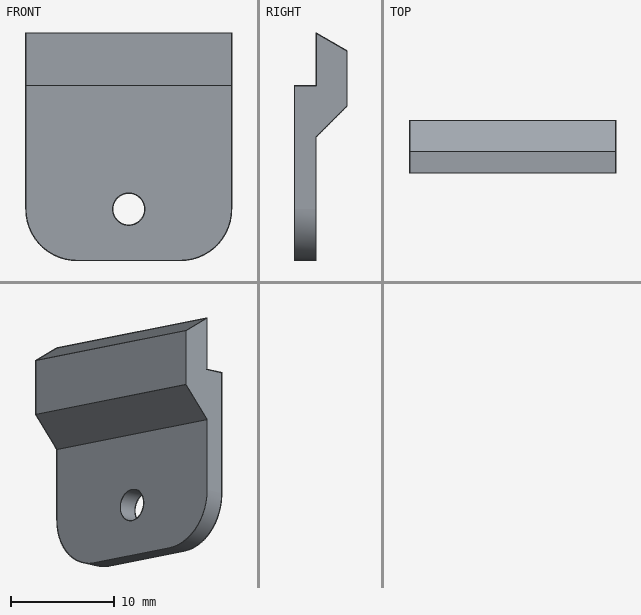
import cadquery as cq
import math

width = 20.0
height = 22.1
depth = 5.1

plate_thickness = 2.1
lip_thickness = depth - plate_thickness
plate_height = 17.0
lip_slope_start = 12.0
lip_slope_end = lip_slope_start + lip_thickness
lip_top_angle = 30.0
lip_back_height = height - lip_thickness * math.tan(math.radians(lip_top_angle))

corner_radius = 5.0
hole_diameter = 3.1
hole_height = corner_radius


def make_body():
    """Side profile (Y, Z) extruded across the full width, centred on X."""
    profile = [
        (0, 0),
        (0, plate_height),
        (plate_thickness, plate_height),
        (plate_thickness, height),
        (depth, lip_back_height),
        (depth, lip_slope_end),
        (plate_thickness, lip_slope_start),
        (plate_thickness, 0),
    ]
    return cq.Workplane("YZ").polyline(profile).close().extrude(width / 2, both=True)


def make_hole():
    """Cylinder through the plate along Y."""
    return (
        cq.Workplane("XZ")
        .center(0, hole_height)
        .circle(hole_diameter / 2)
        .extrude(-plate_thickness)
    )


body = make_body().edges("|Y and <Z").fillet(corner_radius)
result = body.cut(make_hole())